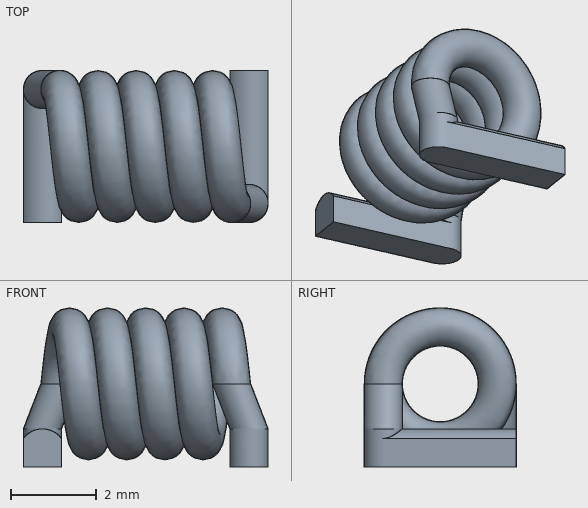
import cadquery as cq

length = 5.72
coil_outer_diameter = 3.56
wire_diameter = 0.89
coil_wire_diameter = 0.885
pitch = 0.89
turns = 4.5
axis_height = 1.945
foot_height = 0.89
foot_side_height = 0.67

wire_radius = wire_diameter / 2
coil_radius = coil_outer_diameter / 2 - wire_radius
coil_length = turns * pitch
coil_start_x = -coil_length / 2
foot_x = -length / 2 + wire_radius
foot_end_y = -coil_outer_diameter / 2


def make_coil():
    """Right-handed helix about X, from the +Y side to the -Y side at axis height."""
    path = cq.Wire.makeHelix(pitch, coil_length, coil_radius)
    coil = (
        cq.Workplane("XZ")
        .center(coil_radius, 0)
        .circle(coil_wire_diameter / 2)
        .sweep(cq.Workplane(path), isFrenet=True)
    )
    return coil.rotate((0, 0, 0), (1, 1, 1), 120).translate((coil_start_x, 0, axis_height))


def make_lead():
    """Sloping wire, upright post and domed foot at the -X end of the coil."""
    slope = (
        cq.Workplane("XY", origin=(foot_x, coil_radius, foot_height))
        .circle(wire_radius)
        .workplane(offset=axis_height - foot_height)
        .center(coil_start_x - foot_x, 0)
        .circle(wire_radius)
        .loft(ruled=True)
    )
    post = (
        cq.Workplane("XY", origin=(foot_x, coil_radius, 0))
        .circle(wire_radius)
        .extrude(foot_height)
    )
    foot = (
        cq.Workplane("XZ", origin=(foot_x, coil_radius, 0))
        .moveTo(-wire_radius, 0)
        .lineTo(wire_radius, 0)
        .lineTo(wire_radius, foot_side_height)
        .threePointArc((0, foot_height), (-wire_radius, foot_side_height))
        .close()
        .extrude(coil_radius - foot_end_y)
    )
    return post.union(foot).union(slope)


lead = make_lead()
opposite_lead = lead.rotate((0, 0, 0), (0, 0, 1), 180)
result = make_coil().union(lead).union(opposite_lead)